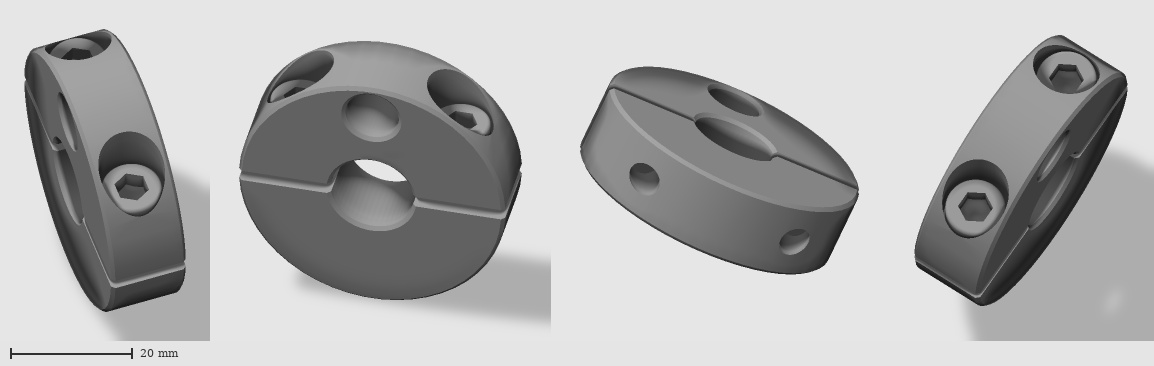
import cadquery as cq
import math

ring_diameter = 45.0
ring_width = 13.0
bore_diameter = 14.0
split_gap = 2.0
edge_chamfer = 0.6

side_hole_diameter = 9.0
side_hole_height = 16.5

screw_offset = 13.5
thread_diameter = 6.0
thread_length = 16.0
head_diameter = 10.0
head_height = 6.0
head_fillet = 0.6
socket_across_flats = 5.0
socket_depth = 3.0
socket_cone_angle = 120.0

head_seat_height = 7.0
counterbore_diameter = 11.0
tap_hole_diameter = 5.0

ring_radius = ring_diameter / 2
thread_end_height = head_seat_height - thread_length
screw_positions = [-screw_offset, screw_offset]


def z_cylinder(x, diameter, bottom, top):
    """Cylinder along Z at the given X, between two heights."""
    return cq.Workplane("XY", origin=(x, 0, bottom)).circle(diameter / 2).extrude(top - bottom)


def y_disc(middle_radius, face_radius, height):
    """Disc along Y at X = 0 and the given Z, as wide as the ring, conical next to both faces.

    The radius is middle_radius in between and changes to face_radius over the chamfer width.
    """
    face_y = ring_width / 2
    chamfer_y = face_y - edge_chamfer
    profile = [
        (0, -face_y),
        (face_radius, -face_y),
        (middle_radius, -chamfer_y),
        (middle_radius, chamfer_y),
        (face_radius, face_y),
        (0, face_y),
    ]
    return (
        cq.Workplane("XY", origin=(0, 0, height))
        .polyline(profile)
        .close()
        .revolve(360, (0, 0, 0), (0, 1, 0))
    )


def chamfered_hole(diameter, height):
    """Cutter for a hole along Y that is chamfered at both ends."""
    radius = diameter / 2
    return y_disc(radius, radius + edge_chamfer, height)


def half_ring(side):
    """Plain half of the bored ring: side is +1 for the upper half, -1 for the lower half."""
    half_space = cq.Workplane("XY", origin=(0, 0, side * (split_gap + ring_diameter) / 2)).box(
        2 * ring_diameter, 2 * ring_width, ring_diameter
    )
    blank = y_disc(ring_radius, ring_radius - edge_chamfer, 0)
    return blank.cut(chamfered_hole(bore_diameter, 0)).intersect(half_space)


def make_upper_half():
    """Upper half with the side hole and counterbored screw holes."""
    half = half_ring(1).cut(chamfered_hole(side_hole_diameter, side_hole_height))
    for x in screw_positions:
        half = half.cut(z_cylinder(x, thread_diameter, 0, head_seat_height))
        half = half.cut(z_cylinder(x, counterbore_diameter, head_seat_height, ring_radius))
    return half


def make_lower_half():
    """Lower half with threaded holes, continued at tap hole size out through the rim."""
    half = half_ring(-1)
    for x in screw_positions:
        half = half.cut(z_cylinder(x, thread_diameter, thread_end_height, 0))
        half = half.cut(z_cylinder(x, tap_hole_diameter, -ring_radius, 0))
    return half


def hex_socket(x, head_top):
    """Cutter for the hexagon socket, which ends in a drill cone."""
    corner_radius = socket_across_flats / math.sqrt(3)
    cone_depth = corner_radius / math.tan(math.radians(socket_cone_angle / 2))
    total_depth = socket_depth + cone_depth
    hexagon = (
        cq.Workplane("XY", origin=(x, 0, head_top))
        .polygon(6, 2 * corner_radius)
        .extrude(-total_depth)
    )
    drill = (
        cq.Workplane("XZ")
        .polyline([(0, 0), (corner_radius, 0), (corner_radius, -socket_depth), (0, -total_depth)])
        .close()
        .revolve(360, (0, 0, 0), (0, 1, 0))
        .translate((x, 0, head_top))
    )
    return hexagon.intersect(drill)


def make_screw(x):
    """Cap screw seated on the counterbore floor."""
    head_top = head_seat_height + head_height
    head = z_cylinder(x, head_diameter, head_seat_height, head_top)
    head = head.faces(">Z").edges().fillet(head_fillet)
    shank = z_cylinder(x, thread_diameter, thread_end_height, head_seat_height)
    return head.union(shank).cut(hex_socket(x, head_top))


upper_half = make_upper_half()
lower_half = make_lower_half()
screws = [make_screw(x) for x in screw_positions]

result = cq.Compound.makeCompound(
    [upper_half.val(), lower_half.val(), *[screw.val() for screw in screws]]
)